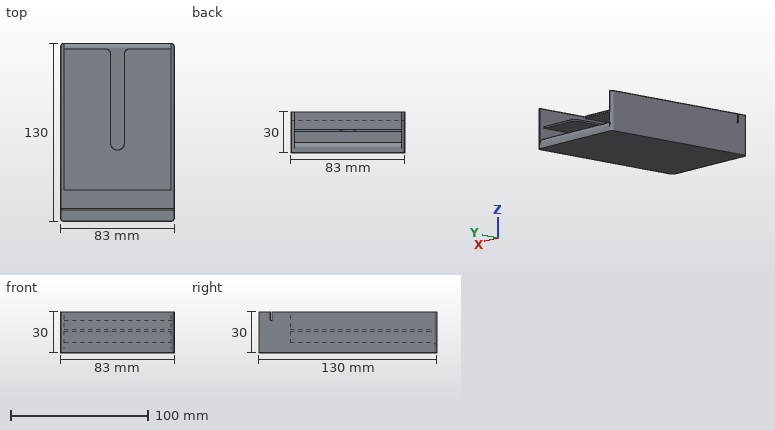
import cadquery as cq

width = 83.0
length = 130.0
height = 30.0
corner_radius = 2.5

side_wall = 2.5
front_block = 23.0
floor_thickness = 7.5
floor_lip_radius = 4.0

shelf_top = 17.0
shelf_thickness = 1.2
shelf_setback = 4.0

slot_width = 10.0
slot_length = 74.0
slot_mouth_radius = 4.0

groove_width = 1.0
groove_depth = 6.25
groove_to_front = 8.4

cavity_width = width - 2 * side_wall
front_y = -length / 2
back_y = length / 2
cavity_front_y = front_y + front_block
shelf_back_y = back_y - shelf_setback


def box_between(x_size, y_min, y_max, z_min, z_max):
    """Box centred on X, spanning the given Y and Z ranges."""
    return (
        cq.Workplane("XY")
        .workplane(offset=z_min)
        .center(0, (y_min + y_max) / 2)
        .rect(x_size, y_max - y_min)
        .extrude(z_max - z_min)
    )


def make_body():
    """Block with rounded vertical corners."""
    return box_between(width, front_y, back_y, 0, height).edges("|Z").fillet(corner_radius)


def make_cavity():
    """Space above the floor, with the floor's back edge rounded over."""
    pocket = box_between(cavity_width, cavity_front_y, back_y, floor_thickness, height)
    lip_start_y = back_y - floor_lip_radius
    lip_end_z = floor_thickness - floor_lip_radius
    lip_round = (
        cq.Workplane("YZ")
        .workplane(offset=-cavity_width / 2)
        .moveTo(lip_start_y, floor_thickness)
        .radiusArc((back_y, lip_end_z), floor_lip_radius)
        .lineTo(back_y, floor_thickness)
        .close()
        .extrude(cavity_width)
    )
    return pocket.union(lip_round)


def make_shelf():
    """Thin shelf with a round-ended slot and rounded slot mouth corners."""
    shelf_bottom = shelf_top - shelf_thickness
    shelf = box_between(cavity_width, cavity_front_y, shelf_back_y, shelf_bottom, shelf_top)
    slot_radius = slot_width / 2
    slot_center_y = shelf_back_y - slot_length + slot_radius
    slot = box_between(slot_width, slot_center_y, shelf_back_y, shelf_bottom, shelf_top)
    slot_end = (
        cq.Workplane("XY")
        .workplane(offset=shelf_bottom)
        .center(0, slot_center_y)
        .circle(slot_radius)
        .extrude(shelf_thickness)
    )
    mouth_corners = cq.selectors.BoxSelector(
        (-slot_width, shelf_back_y - slot_mouth_radius, 0),
        (slot_width, back_y, height),
    )
    return shelf.cut(slot).cut(slot_end).edges("|Z").edges(mouth_corners).fillet(slot_mouth_radius)


def make_groove():
    """Straight groove across the full width of the front block."""
    groove_y = front_y + groove_to_front
    return box_between(width, groove_y, groove_y + groove_width, height - groove_depth, height)


result = make_body().cut(make_cavity()).union(make_shelf()).cut(make_groove())